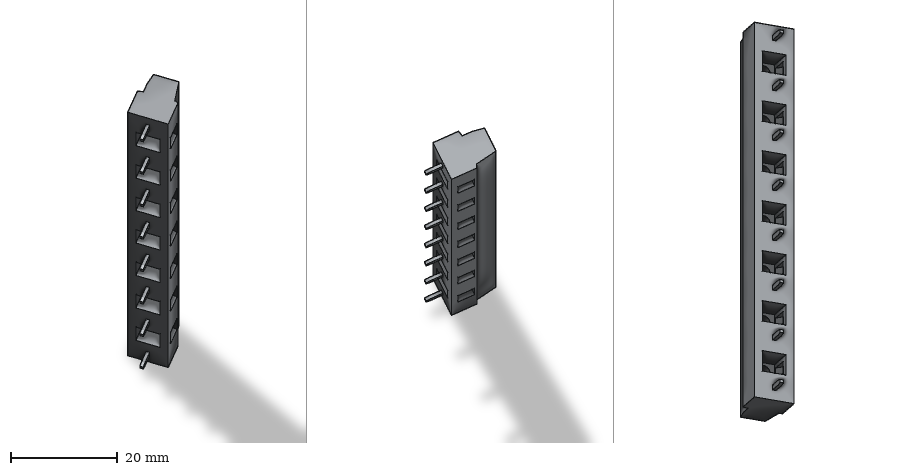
import cadquery as cq

POLE_COUNT = 7
PITCH = 10.16
PIN_COUNT = POLE_COUNT + 1
END_MARGIN = PITCH / 4
LENGTH = POLE_COUNT * PITCH + 2 * END_MARGIN

BASE_WIDTH = 8.1
HOUSING_DEPTH = 10.0
STEP_INNER_Y = 5.55
STEP_OUTER_Y = 5.32
KINK_DEPTH = 7.55
LEFT_FLANK_X = -2.93
TOP_HALF_WIDTH = 2.53
RIGHT_FLANK_X = 3.3
TOP_FILLET = 0.15

POCKET_WIDTH = 4.8
POCKET_HEIGHT = 4.15
POCKET_DEPTH = 5.3
SCREW_HOLE_DIAMETER = 3.1
WIRE_SLOT_START_Y = 1.35
WIRE_SLOT_END_Y = 4.8
WIRE_SLOT_INNER_HEIGHT = 2.4
WIRE_SLOT_OUTER_HEIGHT = 3.5

PIN_WIDTH = 0.7
PIN_HEIGHT = 1.0
PIN_LENGTH = 3.5
PIN_TIP_LENGTH = 0.85
PIN_TIP_HEIGHT = 0.6


def centred_row(count):
    """Z positions of `count` items spaced by the pitch about Z = 0."""
    return [(i - (count - 1) / 2) * PITCH for i in range(count)]


def make_block():
    """Stepped, tapering bar with softened top edges."""
    half_base = BASE_WIDTH / 2
    block = (
        cq.Workplane("XY")
        .workplane(offset=-LENGTH / 2)
        .polyline([
            (-half_base, 0),
            (half_base, 0),
            (half_base, STEP_OUTER_Y),
            (RIGHT_FLANK_X, STEP_INNER_Y),
            (TOP_HALF_WIDTH, HOUSING_DEPTH),
            (-TOP_HALF_WIDTH, HOUSING_DEPTH),
            (LEFT_FLANK_X, KINK_DEPTH),
            (LEFT_FLANK_X, STEP_INNER_Y),
            (-half_base, STEP_OUTER_Y),
        ])
        .close()
        .extrude(LENGTH)
    )
    return block.faces(">Y").edges("|Z").fillet(TOP_FILLET)


def make_pole_opening(z):
    """Pocket in the board face, screw hole through to +Y and flaring wire slot out to +X."""
    pocket = (
        cq.Workplane("XY")
        .box(POCKET_WIDTH, POCKET_DEPTH, POCKET_HEIGHT, centered=(True, False, True))
        .translate((0, 0, z))
    )
    screw_hole = (
        cq.Workplane("XZ", origin=(0, 0, z))
        .circle(SCREW_HOLE_DIAMETER / 2)
        .extrude(-HOUSING_DEPTH)
    )
    wire_slot = (
        cq.Workplane("XZ", origin=(0, WIRE_SLOT_START_Y, z))
        .polyline([
            (POCKET_WIDTH / 2, -WIRE_SLOT_INNER_HEIGHT / 2),
            (BASE_WIDTH / 2, -WIRE_SLOT_OUTER_HEIGHT / 2),
            (BASE_WIDTH / 2, WIRE_SLOT_OUTER_HEIGHT / 2),
            (POCKET_WIDTH / 2, WIRE_SLOT_INNER_HEIGHT / 2),
        ])
        .close()
        .extrude(WIRE_SLOT_START_Y - WIRE_SLOT_END_Y)
    )
    return pocket.union(screw_hole).union(wire_slot)


def make_housing():
    housing = make_block()
    for z in centred_row(POLE_COUNT):
        housing = housing.cut(make_pole_opening(z))
    return housing


def make_pin(z):
    """Flat pin standing on the board face, narrowing along Z at its tip."""
    shoulder_y = -(PIN_LENGTH - PIN_TIP_LENGTH)
    half_height = PIN_HEIGHT / 2
    half_tip = PIN_TIP_HEIGHT / 2
    return (
        cq.Workplane("YZ", origin=(-PIN_WIDTH / 2, 0, z))
        .polyline([
            (0, half_height),
            (shoulder_y, half_height),
            (-PIN_LENGTH, half_tip),
            (-PIN_LENGTH, -half_tip),
            (shoulder_y, -half_height),
            (0, -half_height),
        ])
        .close()
        .extrude(PIN_WIDTH)
    )


housing = make_housing()
pins = [make_pin(z) for z in centred_row(PIN_COUNT)]

result = cq.Compound.makeCompound([housing.val(), *[pin.val() for pin in pins]])